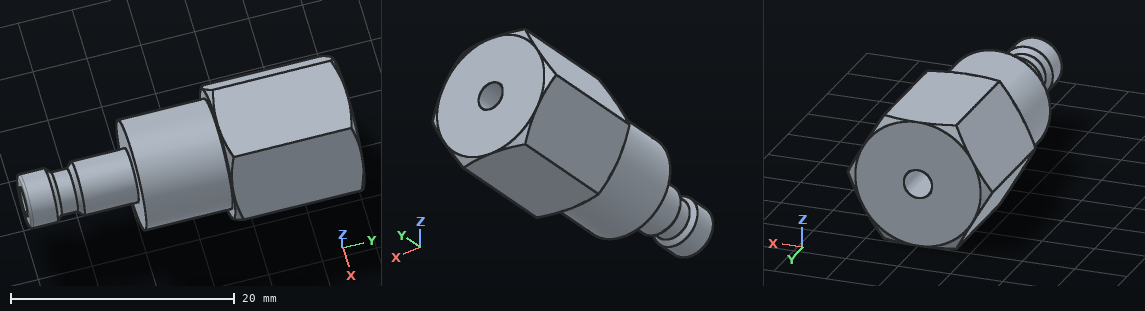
import cadquery as cq
import math

HEX_ACROSS_FLATS = 12.0
HEX_LENGTH = 12.0
HEX_CHAMFER_ANGLE = 30.0
COLLAR_DIAMETER = 10.2
COLLAR_LENGTH = 8.0
STEM_DIAMETER = 5.0
STEM_LENGTH = 10.0
TIP_ROUND_RADIUS = 0.25
GROOVE_DIAMETER = 4.0
GROOVE_START = 2.5
GROOVE_WIDTH = 2.5
BORE_DIAMETER = 2.7

COLLAR_START = STEM_LENGTH
HEX_START = COLLAR_START + COLLAR_LENGTH
TOTAL_LENGTH = HEX_START + HEX_LENGTH
HEX_ACROSS_CORNERS = HEX_ACROSS_FLATS / math.cos(math.radians(30))


def plane_at(y):
    """Plane normal to the part's axis, facing +Y."""
    return cq.Workplane(cq.Plane(origin=(0, y, 0), xDir=(1, 0, 0), normal=(0, 1, 0)))


def revolve_profile(points):
    """Revolve a closed (radius, y) outline about the Y axis."""
    return cq.Workplane("XY").polyline(points).close().revolve(360, (0, 0), (0, 1))


def make_hex():
    """Hexagon with corners on X and both ends turned to a cone."""
    prism = plane_at(HEX_START).polygon(6, HEX_ACROSS_CORNERS).extrude(HEX_LENGTH)
    face_radius = HEX_ACROSS_FLATS / 2
    outer_radius = HEX_ACROSS_CORNERS
    drop = (outer_radius - face_radius) * math.tan(math.radians(HEX_CHAMFER_ANGLE))
    envelope = revolve_profile([
        (0, HEX_START),
        (face_radius, HEX_START),
        (outer_radius, HEX_START + drop),
        (outer_radius, TOTAL_LENGTH - drop),
        (face_radius, TOTAL_LENGTH),
        (0, TOTAL_LENGTH),
    ])
    return prism.intersect(envelope)


def make_collar():
    """Plain cylinder between the stem and the hexagon."""
    return plane_at(COLLAR_START).circle(COLLAR_DIAMETER / 2).extrude(COLLAR_LENGTH)


def make_stem():
    """Stem with a rounded tip edge and a groove with 45 degree walls."""
    stem_radius = STEM_DIAMETER / 2
    groove_radius = GROOVE_DIAMETER / 2
    groove_depth = stem_radius - groove_radius
    groove_end = GROOVE_START + GROOVE_WIDTH
    stem = revolve_profile([
        (0, 0),
        (stem_radius, 0),
        (stem_radius, GROOVE_START),
        (groove_radius, GROOVE_START + groove_depth),
        (groove_radius, groove_end - groove_depth),
        (stem_radius, groove_end),
        (stem_radius, STEM_LENGTH),
        (0, STEM_LENGTH),
    ])
    return stem.faces("<Y").edges().fillet(TIP_ROUND_RADIUS)


def make_bore():
    """Cutter for the bore through the full length."""
    return plane_at(0).circle(BORE_DIAMETER / 2).extrude(TOTAL_LENGTH)


result = make_hex().union(make_collar()).union(make_stem()).cut(make_bore())